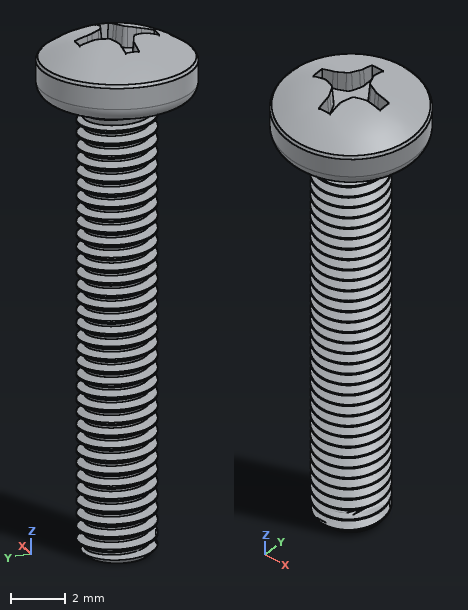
import cadquery as cq
import math

TOTAL_LENGTH = 20.45
SHANK_LENGTH = 18.0

HEAD_RADIUS = 6.0 / 2
RIM_TOP = 19.39
DOME_EDGE_RADIUS = 2.92
DOME_EDGE_HEIGHT = 19.5
DOME_CROWN = 0.053
DOME_APEX = TOTAL_LENGTH + DOME_CROWN
HEAD_FILLET = 0.57

TURNS_PER_SHANK = 36
PITCH = SHANK_LENGTH / TURNS_PER_SHANK
MAJOR_RADIUS = 3.0 / 2
MINOR_RADIUS = 1.2
THREAD_START = -0.08
FLANK_HALF_ANGLE = math.radians(30)
CREST_FLAT = PITCH / 8
TIP_RADIUS = MINOR_RADIUS
NECK_LENGTH = 1.0
NECK_RADIUS = 1.51
NECK_OVERLAP = 0.2

RECESS_FLOOR = 19.63
RECESS_DRAFT = 5.0
ARM_REACH = 1.6
ARM_HALF_WIDTH = 0.29
CORE_CORNER = 0.5
CORE_WALL_ANGLE = 22.0
CORE_CORNER_FILLET = 0.25
ARM_ROOT_FILLET = 0.45


def make_head():
    """Domed head with a bevelled rim and a rounded lower edge."""
    rise = DOME_APEX - DOME_EDGE_HEIGHT
    dome_radius = (DOME_EDGE_RADIUS**2 + rise**2) / (2 * rise)
    middle_x = DOME_EDGE_RADIUS / 2
    middle_z = DOME_APEX - dome_radius + math.sqrt(dome_radius**2 - middle_x**2)
    profile = (
        cq.Workplane("XZ")
        .moveTo(0, SHANK_LENGTH)
        .lineTo(HEAD_RADIUS - HEAD_FILLET, SHANK_LENGTH)
        .radiusArc((HEAD_RADIUS, SHANK_LENGTH + HEAD_FILLET), -HEAD_FILLET)
        .lineTo(HEAD_RADIUS, RIM_TOP)
        .lineTo(DOME_EDGE_RADIUS, DOME_EDGE_HEIGHT)
        .threePointArc((middle_x, middle_z), (0, DOME_APEX))
        .close()
    )
    return profile.revolve(360, (0, 0, 0), (0, 1, 0))


def make_neck():
    """Cone that flares from inside the thread core up to the head."""
    flare = (NECK_RADIUS - MINOR_RADIUS) / NECK_LENGTH
    profile = (
        cq.Workplane("XZ")
        .moveTo(0, SHANK_LENGTH - NECK_LENGTH - NECK_OVERLAP)
        .lineTo(MINOR_RADIUS - flare * NECK_OVERLAP, SHANK_LENGTH - NECK_LENGTH - NECK_OVERLAP)
        .lineTo(NECK_RADIUS, SHANK_LENGTH)
        .lineTo(0, SHANK_LENGTH)
        .close()
    )
    return profile.revolve(360, (0, 0, 0), (0, 1, 0))


def make_threaded_rod(bottom, turns):
    """Right-handed rod bounded by helical faces, first crest on the +X side at bottom."""
    crest_half = CREST_FLAT / 2
    flank_end = crest_half + (MAJOR_RADIUS - MINOR_RADIUS) * math.tan(FLANK_HALF_ANGLE)
    tooth = [
        (MINOR_RADIUS, -flank_end),
        (MAJOR_RADIUS, -crest_half),
        (MAJOR_RADIUS, crest_half),
        (MINOR_RADIUS, flank_end),
        (MINOR_RADIUS, PITCH - flank_end),
    ]

    def helix(radius, height, turn_count):
        return cq.Wire.makeHelix(PITCH, PITCH * turn_count, radius, center=cq.Vector(0, 0, height))

    faces = []
    for (radius, height), (next_radius, next_height) in zip(tooth, tooth[1:]):
        lower = helix(radius, bottom + height, turns)
        upper = helix(next_radius, bottom + next_height, turns)
        faces += cq.Face.makeRuledSurface(lower, upper).Faces()

    for end in (bottom, bottom + PITCH * turns):
        ramp_bottom = end - flank_end
        ramp_top = ramp_bottom + PITCH
        section = [cq.Vector(0, 0, ramp_bottom)]
        section += [cq.Vector(radius, 0, end + height) for radius, height in tooth]
        section.append(cq.Vector(0, 0, ramp_top))
        faces.append(cq.Face.makeFromWires(cq.Wire.makePolygon(section, close=True)))
        axis = cq.Edge.makeLine(cq.Vector(0, 0, ramp_bottom), cq.Vector(0, 0, ramp_top))
        rim = helix(MINOR_RADIUS, ramp_bottom, 1).Edges()[0]
        faces += cq.Face.makeRuledSurface(rim, axis).Faces()

    return cq.Workplane(cq.Solid.makeSolid(cq.Shell.makeShell(faces)).fix())


def make_shank():
    """Threaded rod cut to length, with a 45 degree chamfer at the tip."""
    top = SHANK_LENGTH + NECK_OVERLAP
    spare_turns = 2
    bottom = THREAD_START - spare_turns * PITCH
    turns = math.ceil((top - bottom) / PITCH) + 1
    limit_radius = MAJOR_RADIUS + 0.2
    envelope = (
        cq.Workplane("XY")
        .circle(limit_radius)
        .extrude(top)
        .faces("<Z")
        .chamfer(limit_radius - TIP_RADIUS)
    )
    return make_threaded_rod(bottom, turns).intersect(envelope)


def make_recess():
    """Tapered cross-shaped cutter, widest at the top of the head."""
    wall_slope = math.tan(math.radians(45 + CORE_WALL_ANGLE))
    root_distance = CORE_CORNER + (CORE_CORNER - ARM_HALF_WIDTH) * wall_slope
    core_corner = (CORE_CORNER, CORE_CORNER)
    arm_root = (root_distance, ARM_HALF_WIDTH)
    quarter = [
        (ARM_REACH, -ARM_HALF_WIDTH),
        (ARM_REACH, ARM_HALF_WIDTH),
        arm_root,
        core_corner,
        (ARM_HALF_WIDTH, root_distance),
    ]
    corners = []
    for turn in range(4):
        quarter_turn = cq.Plane.XY().rotated((0, 0, 90 * turn))
        corners += [quarter_turn.toWorldCoords(point) for point in quarter]
    outline = cq.Wire.makePolygon(corners, close=True)

    def round_corners(wire, corner, radius):
        """Round every corner as far from the screw axis as the given one."""
        matching = [
            vertex for vertex in wire.Vertices()
            if math.isclose(math.hypot(vertex.X, vertex.Y), math.hypot(*corner), rel_tol=1e-6)
        ]
        return wire.fillet2D(radius, matching)

    outline = round_corners(outline, core_corner, CORE_CORNER_FILLET)
    outline = round_corners(outline, arm_root, ARM_ROOT_FILLET)
    return (
        cq.Workplane(outline)
        .toPending()
        .extrude(DOME_APEX - RECESS_FLOOR, taper=RECESS_DRAFT)
        .rotate((0, 0, 0), (1, 0, 0), 180)
        .translate((0, 0, DOME_APEX))
    )


result = make_shank().union(make_neck()).union(make_head()).cut(make_recess())